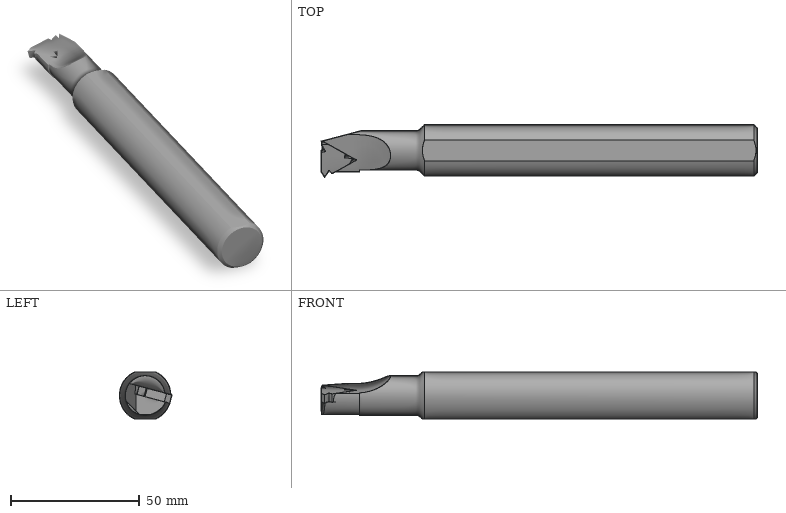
import cadquery as cq
import math

LENGTH = 170.0
SHANK_DIAMETER = 20.0
SHANK_HEIGHT = 18.4
SHANK_START = 40.3
END_CHAMFER = 1.4
NECK_DIAMETER = 15.5
NECK_END = SHANK_START - (SHANK_DIAMETER - NECK_DIAMETER) / 2
SHOULDER_FILLET = 2.0

HEAD_DIAMETER = 15.0
HEAD_LENGTH = 15.0
HEAD_OFFSET = 0.8
END_FACE_RELIEF = 1.5
RELIEF_EDGE_Y = 3.5
SIDE_RELIEF_ANGLE = 14.8

CLEARANCE_FLATS = [(45, 6.8), (90, 7.5)]

TILT = 15.0
FLAT_HEIGHT = 3.0
FLAT_LENGTH = 14.0
RUNOUT_LENGTH = 14.5
RUNOUT_RADIUS = 20.4

INSERT_INRADIUS = 4.6
INSERT_THICKNESS = 3.4
INSERT_CENTER_Y = -3.9
TOOTH_START = (-INSERT_INRADIUS, -4.8)
TOOTH_TIP = (-3.2, -7.0)
TOOTH_VALLEY = (-1.5, -4.2)
NOTCH_FOOT_ALONG_SIDE = 3.0
CORNER_COUNT = 3

LARGE = 68.0


def cylinder(diameter, start, end, offset_y=0):
    """Cylinder along X between two stations."""
    return (
        cq.Workplane("YZ", origin=(start, offset_y, 0))
        .circle(diameter / 2)
        .extrude(end - start)
    )


def make_shank():
    """Chamfered round shank with two flats and a filleted conical shoulder."""
    radius = SHANK_DIAMETER / 2
    neck_radius = NECK_DIAMETER / 2
    cone_angle = math.radians(45)
    fillet_start = NECK_END - SHOULDER_FILLET * math.tan(cone_angle / 2)

    def fillet_point(angle):
        return (
            fillet_start + SHOULDER_FILLET * math.sin(angle),
            neck_radius + SHOULDER_FILLET * (1 - math.cos(angle)),
        )

    shank = (
        cq.Workplane("XY")
        .moveTo(fillet_start, 0)
        .lineTo(fillet_start, neck_radius)
        .threePointArc(fillet_point(cone_angle / 2), fillet_point(cone_angle))
        .lineTo(SHANK_START, radius)
        .lineTo(LENGTH - END_CHAMFER, radius)
        .lineTo(LENGTH, radius - END_CHAMFER)
        .lineTo(LENGTH, 0)
        .close()
        .revolve(360, (0, 0, 0), (1, 0, 0))
    )
    flats = cq.Workplane("XY").box(2 * LENGTH, SHANK_DIAMETER, SHANK_HEIGHT)
    return shank.intersect(flats)


def on_flat(shape):
    """Move a shape modelled on Z = 0 onto the tilted flat."""
    return shape.rotate((0, 0, 0), (1, 0, 0), TILT).translate((0, 0, FLAT_HEIGHT))


def flat_cutter():
    """Material above the flat, ending in a concave arc run-out."""
    runout_end = FLAT_LENGTH + RUNOUT_LENGTH
    runout_height = RUNOUT_RADIUS - math.sqrt(RUNOUT_RADIUS**2 - RUNOUT_LENGTH**2)
    half_angle = math.asin(RUNOUT_LENGTH / RUNOUT_RADIUS) / 2
    arc_middle = (
        FLAT_LENGTH + RUNOUT_RADIUS * math.sin(half_angle),
        RUNOUT_RADIUS * (1 - math.cos(half_angle)),
    )
    profile = (
        cq.Workplane("XZ")
        .moveTo(-LARGE, 0)
        .lineTo(FLAT_LENGTH, 0)
        .threePointArc(arc_middle, (runout_end, runout_height))
        .lineTo(runout_end, LARGE)
        .lineTo(-LARGE, LARGE)
        .close()
    )
    return on_flat(profile.extrude(LARGE, both=True))


def relief_cutter():
    """Material in front of the end face and outside the +Y side relief."""
    run = LARGE / math.tan(math.radians(SIDE_RELIEF_ANGLE))
    head_edge_y = -HEAD_OFFSET - HEAD_DIAMETER / 2
    slope = END_FACE_RELIEF / (RELIEF_EDGE_Y - head_edge_y)
    outline = [
        (0, RELIEF_EDGE_Y),
        (run, RELIEF_EDGE_Y + LARGE),
        (-LARGE, RELIEF_EDGE_Y + LARGE),
        (-LARGE, RELIEF_EDGE_Y - LARGE),
        (slope * LARGE, RELIEF_EDGE_Y - LARGE),
    ]
    limit = cq.Workplane("XY").box(2 * NECK_END, 2 * LARGE, 2 * LARGE)
    return cq.Workplane("XY").polyline(outline).close().extrude(LARGE, both=True).intersect(limit)


def clearance_cutter(angle, distance):
    """Material of the head outside one clearance flat."""
    block = cq.Workplane("XY").box(HEAD_LENGTH, LARGE, LARGE, centered=(False, False, True))
    return block.translate((0, distance, 0)).rotate((0, 0, 0), (1, 0, 0), -angle)


def turned(point, angle):
    """Turn a point about the insert centre."""
    c = math.cos(math.radians(angle))
    s = math.sin(math.radians(angle))
    return (point[0] * c - point[1] * s, point[0] * s + point[1] * c)


def insert_prism(corner):
    """Prism below the flat with one corner pattern repeated around it."""
    step = 360 / CORNER_COUNT
    points = [turned(p, i * step) for i in range(CORNER_COUNT) for p in corner]
    prism = cq.Workplane("XY").polyline(points).close().extrude(-INSERT_THICKNESS)
    return on_flat(prism.translate((INSERT_INRADIUS, INSERT_CENTER_Y, 0)))


def make_holder():
    """Shank, neck and head, with the flat, the reliefs and the insert pocket."""
    neck = cylinder(NECK_DIAMETER, 0, NECK_END)
    head = cylinder(HEAD_DIAMETER, 0, HEAD_LENGTH, -HEAD_OFFSET)
    holder = make_shank().union(neck).union(head)
    holder = holder.cut(flat_cutter()).cut(relief_cutter())
    for angle, distance in CLEARANCE_FLATS:
        holder = holder.cut(clearance_cutter(angle, distance))
    sharp_corner = (-INSERT_INRADIUS, -INSERT_INRADIUS * math.sqrt(3))
    pocket = insert_prism([sharp_corner])
    return holder.cut(pocket)


def make_insert():
    """Triangular insert with a pointed tooth at each corner."""
    notch_foot = turned((-INSERT_INRADIUS, NOTCH_FOOT_ALONG_SIDE), 360 / CORNER_COUNT)
    return insert_prism([TOOTH_START, TOOTH_TIP, TOOTH_VALLEY, notch_foot])


holder = make_holder()
insert = make_insert()
result = cq.Compound.makeCompound([holder.val(), insert.val()])